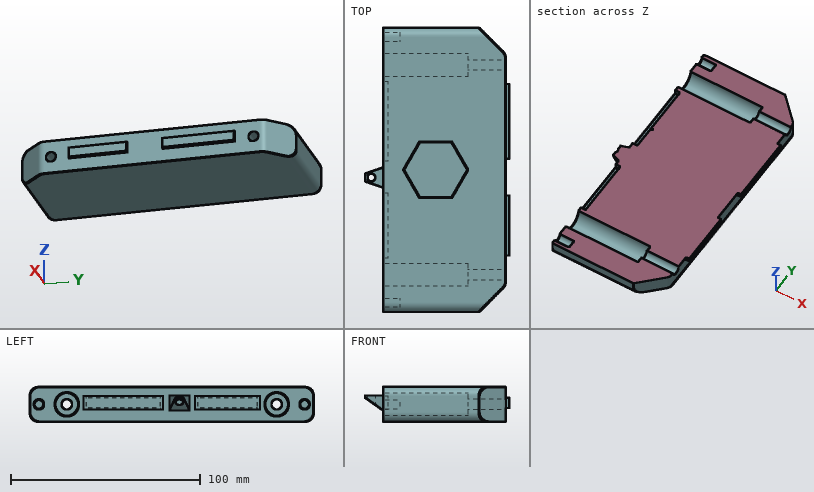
import cadquery as cq

body_depth = 65.0
body_length = 150.0
body_height = 18.6
long_edge_radius = 5.0
corner_cut_depth = 14.1
corner_cut_length = 14.1
corner_blend_radius = 5.0
face_edge_chamfer = 0.38

half_length = body_length / 2
mid_height = body_height / 2

screw_offset = 55.4
screw_diameter = 5.4
counterbore_diameter = 12.0
counterbore_depth = 45.0
end_hole_offset = 70.0
end_hole_diameter = 4.6
end_hole_depth = 9.0
hole_mouth_chamfer = 0.5

slot_spans = [(4.6, 46.5), (-46.5, -12.3)]
slot_height = 7.0
slot_center_z = 10.12
slot_depth = 2.8
key_end_clearance = 1.2
key_side_clearance = 0.8
key_reach = 2.0
key_tip_chamfer = 0.3

lug_reach = 9.5
lug_tip_width = 4.2
lug_corner_radius = 1.5
lug_hole_x = -6.0
lug_hole_diameter = 4.0
lug_center_y = -4.0
lug_root_width = 10.6
lug_top_z = 14.1
lug_root_height = 8.0
lug_tip_height = 1.2

hexagon_width = 34.4
hexagon_center_x = 27.9
hexagon_depth = 0.5


def make_corner_wedge(side):
    """Triangular prism that cuts one corner beside the front face."""
    return (
        cq.Workplane("XY")
        .moveTo(body_depth, side * half_length)
        .lineTo(body_depth - corner_cut_depth, side * half_length)
        .lineTo(body_depth, side * (half_length - corner_cut_length))
        .close()
        .extrude(body_height)
    )


def make_body():
    """Block with rounded long edges, two cut corners and eased end faces."""
    block = cq.Workplane("XY").box(
        body_depth, body_length, body_height, centered=(False, True, False)
    )
    block = block.edges("|X").fillet(long_edge_radius)
    for side in (-1, 1):
        block = block.cut(make_corner_wedge(side))
    block = block.edges("|Z and >X").fillet(corner_blend_radius)
    block = block.faces("<X").chamfer(face_edge_chamfer)
    return block.faces(">X").chamfer(face_edge_chamfer)


def make_bore(y, diameter, depth):
    """Cylinder running into the body from the rear face."""
    return (
        cq.Workplane("YZ")
        .center(y, mid_height)
        .circle(diameter / 2)
        .extrude(depth)
    )


def make_chamfered_bore(y, diameter, depth):
    """Bore with a small conical mouth at the rear face."""
    mouth = (
        cq.Workplane("YZ")
        .center(y, mid_height)
        .circle(diameter / 2 + hole_mouth_chamfer)
        .workplane(offset=hole_mouth_chamfer)
        .circle(diameter / 2)
        .loft(ruled=True)
    )
    return make_bore(y, diameter, depth).union(mouth)


def make_bar(span, height, start_x, depth):
    """Rectangular bar along Y at the slot height."""
    low_y, high_y = span
    return (
        cq.Workplane("YZ", origin=(start_x, 0, 0))
        .center((low_y + high_y) / 2, slot_center_z)
        .rect(high_y - low_y, height)
        .extrude(depth)
    )


def make_key(span):
    """Raised key on the front face that fits the slot of the next part."""
    low_y, high_y = span
    key_span = (low_y + key_end_clearance, high_y - key_end_clearance)
    key = make_bar(key_span, slot_height - 2 * key_side_clearance, body_depth, key_reach)
    return key.faces(">X").chamfer(key_tip_chamfer)


def make_lug():
    """Tapered eye with rounded tip corners, a flat top and a sloping underside."""
    half_root = lug_root_width / 2
    half_tip = lug_tip_width / 2
    plan = (
        cq.Workplane("XY", origin=(0, lug_center_y, 0))
        .moveTo(0, -half_root)
        .lineTo(-lug_reach, -half_tip)
        .lineTo(-lug_reach, half_tip)
        .lineTo(0, half_root)
        .close()
        .extrude(body_height)
        .edges("|Z and <X")
        .fillet(lug_corner_radius)
    )
    profile = (
        cq.Workplane("XZ", origin=(0, lug_center_y, 0))
        .moveTo(0, lug_top_z)
        .lineTo(-lug_reach, lug_top_z)
        .lineTo(-lug_reach, lug_top_z - lug_tip_height)
        .lineTo(0, lug_top_z - lug_root_height)
        .close()
        .extrude(lug_root_width, both=True)
    )
    eye = (
        cq.Workplane("XY")
        .center(lug_hole_x, lug_center_y)
        .circle(lug_hole_diameter / 2)
        .extrude(body_height)
    )
    return plan.intersect(profile).cut(eye)


def make_hexagon():
    """Shallow hexagonal recess with walls sloping at 45 degrees."""
    return (
        cq.Workplane("XY", origin=(hexagon_center_x, 0, body_height))
        .polygon(6, hexagon_width)
        .extrude(-hexagon_depth, taper=45)
    )


result = make_body()
for side in (-1, 1):
    result = result.cut(make_bore(side * screw_offset, screw_diameter, body_depth))
    result = result.cut(make_chamfered_bore(side * screw_offset, counterbore_diameter, counterbore_depth))
    result = result.cut(make_chamfered_bore(side * end_hole_offset, end_hole_diameter, end_hole_depth))
for span in slot_spans:
    result = result.cut(make_bar(span, slot_height, 0, slot_depth))
    result = result.union(make_key(span))
result = result.union(make_lug())
result = result.cut(make_hexagon())